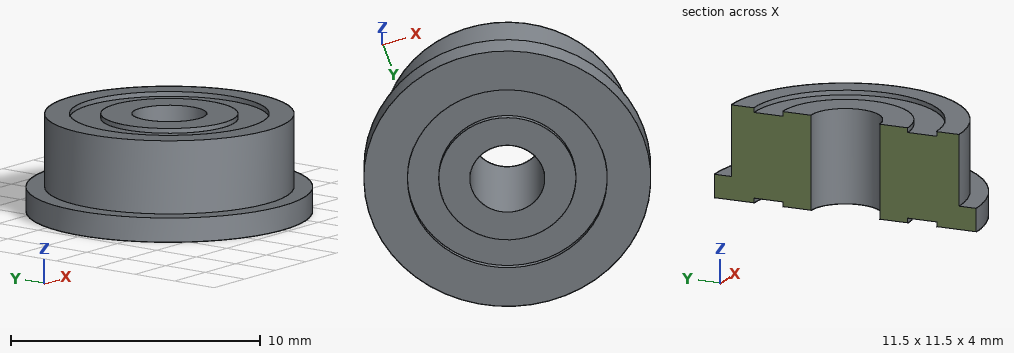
import cadquery as cq

flange_diameter = 11.5
flange_thickness = 1.0
body_diameter = 10.0
height = 4.0
bore_diameter = 3.0

recess_outer_diameter = 8.0
recess_inner_diameter = 5.5
recess_depth = 0.2


def disc(diameter, thickness, base_z=0.0):
    """Solid disc on the Z axis, standing on base_z."""
    return cq.Workplane("XY").workplane(offset=base_z).circle(diameter / 2).extrude(thickness)


def shield_recess(base_z):
    """Ring of material removed to set a shield below the race faces."""
    outer = disc(recess_outer_diameter, recess_depth, base_z)
    return outer.cut(disc(recess_inner_diameter, recess_depth, base_z))


result = disc(flange_diameter, flange_thickness).union(disc(body_diameter, height))
result = result.cut(disc(bore_diameter, height))

for recess_base in (0.0, height - recess_depth):
    result = result.cut(shield_recess(recess_base))